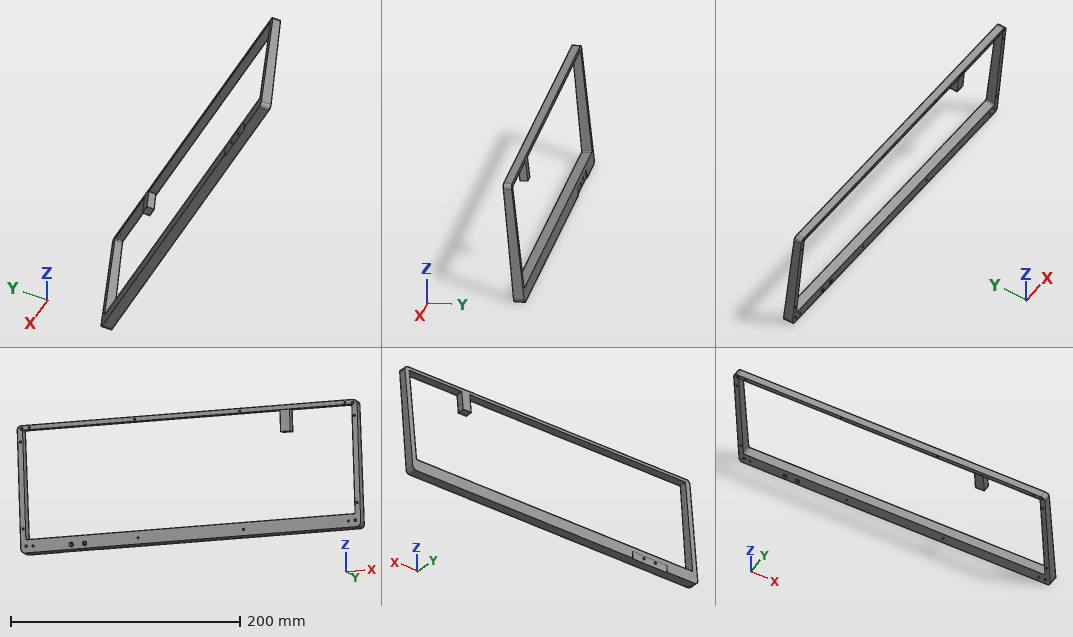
import cadquery as cq
import math

length = 315.75
height = 111.8
depth = 19.37
front_lean = math.radians(5.0)
back_lean = math.radians(6.1)
outer_corner_radius = 4.0

end_rail_width = 5.0
top_rail_height = 4.0
bottom_rail_height = 11.6
opening_corner_radius = 1.0

screw_depth = 5.0
screw_diameter = 1.62
screws_per_rail = 4
screw_pitch = 97.65
bottom_screw_height = 5.5
top_screw_height = 109.5
end_screw_x = 155.1
end_screw_heights = (21.2, 97.5)
corner_screw_diameter = 2.2
bottom_corner_screw = (152.9, 5.8)
top_corner_screw = (153.9, 109.0)

countersunk_hole_diameter = 2.2
countersink_diameter = 4.0
countersunk_hole_height = 4.2
countersunk_hole_spacing = 12.5
recess_center_x = -104.8
recess_length = 38.0
recess_height = 8.0
recess_depth = 0.8

tab_width = 9.0
tab_center_x = 90.4
tab_bottom_height = 88.75
tab_setback = 0.7

front_slope = math.tan(front_lean)
back_slope = math.tan(back_lean)
bottom_thickness = depth - height * front_slope
inward = cq.Vector(0, math.cos(front_lean), math.sin(front_lean))
cut_reach = 2 * depth


def front_y(z):
    """Y of the front face at height z; the bottom front edge lies at the origin."""
    return -z * front_slope


def back_y(z):
    """Y of the back face at height z."""
    return bottom_thickness - z * back_slope


def front_plane(x, z):
    """Workplane on the front face at (x, z), with its normal pointing into the frame."""
    return cq.Workplane(cq.Plane(origin=(x, front_y(z), z), xDir=(1, 0, 0), normal=inward))


def outer_body():
    """Leaning slab, thinner at the top, with rounded corners."""
    section = [
        (front_y(0), 0),
        (back_y(0), 0),
        (back_y(height), height),
        (front_y(height), height),
    ]
    slab = cq.Workplane("YZ").polyline(section).close().extrude(length / 2, both=True)
    outline = (
        cq.Workplane("XZ", origin=(0, 0, height / 2))
        .rect(length, height)
        .extrude(cut_reach, both=True)
        .edges("|Y")
        .fillet(outer_corner_radius)
    )
    return slab.intersect(outline)


def opening():
    """Rounded rectangular prism square to the front face."""
    top = height - top_rail_height
    front_height = (top - bottom_rail_height) / math.cos(front_lean)
    return (
        front_plane(0, (top + bottom_rail_height) / 2)
        .rect(length - 2 * end_rail_width, front_height)
        .extrude(cut_reach, both=True)
        .edges(cq.selectors.ParallelDirSelector(inward))
        .fillet(opening_corner_radius)
    )


def tab():
    """Block below the top rail, flush with the back face, its lower end square to the front."""
    root = height - top_rail_height / 2
    lower_front_y = front_y(tab_bottom_height) + tab_setback
    lower_thickness = back_y(tab_bottom_height) - lower_front_y
    lower_back_run = lower_thickness / (1 + front_slope * back_slope)
    lower_back_height = tab_bottom_height + lower_back_run * front_slope
    section = [
        (lower_front_y, tab_bottom_height),
        (back_y(lower_back_height), lower_back_height),
        (back_y(root), root),
        (front_y(root) + tab_setback, root),
    ]
    middle = cq.Workplane("YZ", origin=(tab_center_x, 0, 0))
    return middle.polyline(section).close().extrude(tab_width / 2, both=True)


def cut_front_holes(body, places, diameter, hole_depth):
    """Bore round holes square to the front face at the (x, z) places."""
    for x, z in places:
        body = body.cut(front_plane(x, z).circle(diameter / 2).extrude(hole_depth))
    return body


def cut_screw_holes(body):
    first_x = -(screws_per_rail - 1) / 2 * screw_pitch
    small = []
    for i in range(screws_per_rail):
        for z in (bottom_screw_height, top_screw_height):
            small.append((first_x + i * screw_pitch, z))
    large = []
    for side in (-1, 1):
        for z in end_screw_heights:
            small.append((side * end_screw_x, z))
        for x, z in (bottom_corner_screw, top_corner_screw):
            large.append((side * x, z))
    body = cut_front_holes(body, small, screw_diameter, screw_depth)
    return cut_front_holes(body, large, corner_screw_diameter, screw_depth)


def cut_countersunk_holes(body):
    sink_depth = (countersink_diameter - countersunk_hole_diameter) / 2
    for side in (-1, 1):
        x = recess_center_x + side * countersunk_hole_spacing / 2
        place = (x, countersunk_hole_height)
        body = cut_front_holes(body, [place], countersunk_hole_diameter, cut_reach)
        sink = (
            front_plane(*place)
            .circle(countersink_diameter / 2)
            .workplane(offset=sink_depth)
            .circle(countersunk_hole_diameter / 2)
            .loft()
        )
        body = body.cut(sink)
    return body


def recess():
    """Box that cuts a shallow vertical flat into the lower back edge."""
    return cq.Workplane("XY", origin=(recess_center_x, bottom_thickness - recess_depth, 0)).box(
        recess_length, cut_reach, recess_height, centered=(True, False, False)
    )


frame = outer_body().cut(opening()).union(tab())
frame = cut_screw_holes(frame)
frame = cut_countersunk_holes(frame)
result = frame.cut(recess())